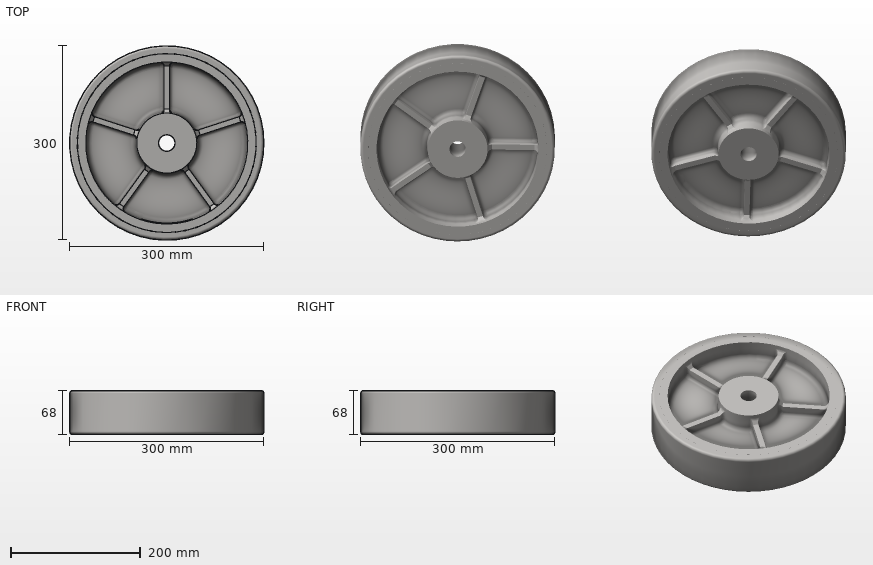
import cadquery as cq
import math

wheel_radius = 150.0
wheel_width = 68.0
half_width = wheel_width / 2

tread_inner_radius = 138.0
tread_edge_radius = 4.5

bore_radius = 12.5
hub_radius = 46.3
rim_inner_radius = 125.0
web_thickness = 8.0
half_web = web_thickness / 2
pocket_depth = half_width - half_web
wall_draft_angle = 4.0
draft = math.tan(math.radians(wall_draft_angle))
pocket_fillet = 8.0

rib_count = 5
sector_angle = 360 / rib_count
rib_top_width = 8.4
rib_top_depth = 14.2
rib_fillet = 5.0
rib_draft_angle = 3.0
gusset_size = 5.5
first_rib_angle = 90.0

tolerance = 0.01

hub_foot_radius = hub_radius + pocket_depth * draft
rim_foot_radius = rim_inner_radius - pocket_depth * draft
rib_top_z = half_width - rib_top_depth


def make_tread():
    """Outer ring with rounded outer edges."""
    ring = (
        cq.Workplane("XY", origin=(0, 0, -half_width))
        .circle(wheel_radius)
        .circle(tread_inner_radius)
        .extrude(wheel_width)
    )
    outer_edges = cq.selectors.RadiusNthSelector(-1)
    return ring.edges(outer_edges).fillet(tread_edge_radius)


def make_plain_sector():
    """Upper half of one core sector, centred on +X: hub, web and drafted rim, without its rib."""
    profile = [
        (bore_radius, 0),
        (bore_radius, half_width),
        (hub_radius, half_width),
        (hub_foot_radius, half_web),
        (rim_foot_radius, half_web),
        (rim_inner_radius, half_width),
        (tread_inner_radius, half_width),
        (tread_inner_radius, 0),
    ]
    sector = cq.Workplane("XZ").polyline(profile).close().revolve(sector_angle, (0, 0), (0, 1))
    middle = sector.val().Center()
    return sector.rotate((0, 0, 0), (0, 0, 1), -math.degrees(math.atan2(middle.y, middle.x)))


def make_rib():
    """Drafted rib along +X with 45 degree gussets rising to the hub and the rim."""
    hub_wall = hub_radius + rib_top_depth * draft
    rim_wall = rim_inner_radius - rib_top_depth * draft
    overlap = 6.0
    inner = hub_wall - overlap
    outer = rim_wall + overlap
    rise = gusset_size + overlap
    side = [
        (inner, 0),
        (outer, 0),
        (outer, rib_top_z + rise),
        (rim_wall - gusset_size, rib_top_z),
        (hub_wall + gusset_size, rib_top_z),
        (inner, rib_top_z + rise),
    ]
    side_slope = math.tan(math.radians(rib_draft_angle))
    blank = cq.Workplane("XZ").polyline(side).close().extrude(wheel_width, both=True)
    half_top = rib_top_width / 2
    half_foot = half_top + rib_top_z * side_slope
    half_peak = half_top - rise * side_slope
    section = [
        (-half_foot, 0),
        (half_foot, 0),
        (half_peak, rib_top_z + rise),
        (-half_peak, rib_top_z + rise),
    ]
    return cq.Workplane("YZ").polyline(section).close().extrude(wheel_radius).intersect(blank)


def is_on_floor(edge):
    """True for an edge lying in the upper surface of the web."""
    box = edge.BoundingBox()
    return abs(box.zmin - half_web) < tolerance and abs(box.zmax - half_web) < tolerance


def is_pocket_foot(edge):
    """True for the arcs where the hub wall and the rim wall rise from the web."""
    return edge.geomType() == "CIRCLE" and is_on_floor(edge)


def is_rib_joint(edge):
    """True for the edges where the rib meets the web, the pocket fillets, the hub wall or the rim wall."""
    kind = edge.geomType()
    if kind == "LINE":
        return is_on_floor(edge) and abs(edge.Center().y) < rib_top_width
    return kind in ("HYPERBOLA", "ELLIPSE", "BSPLINE")


def fillet_edges(body, is_chosen, radius):
    return body.newObject(body.edges().filter(is_chosen).vals()).fillet(radius)


def make_ribbed_sector():
    """Core sector with its hub and rim foot fillets, then its rib blended into every wall."""
    plain = fillet_edges(make_plain_sector(), is_pocket_foot, pocket_fillet)
    return fillet_edges(plain.union(make_rib()), is_rib_joint, rib_fillet)


def make_core():
    """Ribbed sectors set around the axis and mirrored to the lower side."""
    sector = make_ribbed_sector()
    half = cq.Workplane("XY")
    for index in range(rib_count):
        angle = first_rib_angle + index * sector_angle
        half = half.union(sector.rotate((0, 0, 0), (0, 0, 1), angle))
    return half.union(half.mirror("XY")).clean()


tread = make_tread()
core = make_core()
result = cq.Compound.makeCompound([tread.val(), core.val()])